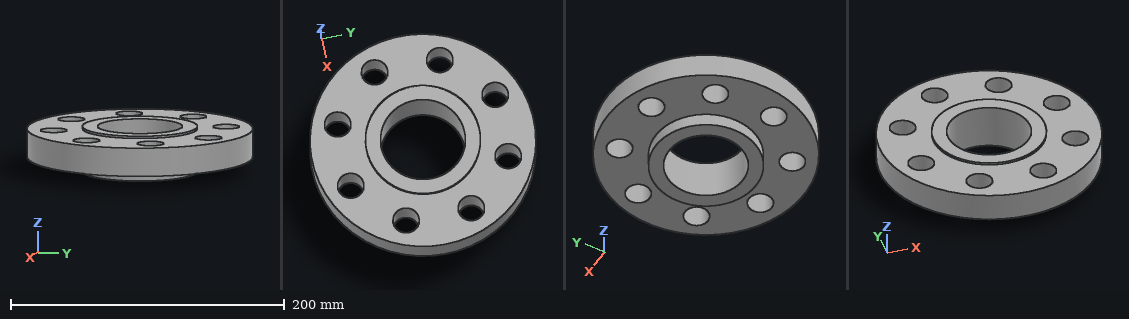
import cadquery as cq

flange_diameter = 165.1
overall_height = 33.4

hub_diameter = 84.0
raised_face_height = 1.7
hub_height = 10.7
flange_thickness = overall_height - raised_face_height - hub_height

bore_diameter = 61.9
bolt_hole_count = 8
bolt_hole_diameter = 19.2
bolt_circle_diameter = 127.0
bolt_start_angle = 180 / bolt_hole_count


def make_body():
    """Disc with a hub running through it; the hub's underside is at Z = 0."""
    hub = cq.Workplane("XY").circle(hub_diameter / 2).extrude(overall_height)
    disc = (
        cq.Workplane("XY")
        .workplane(offset=hub_height)
        .circle(flange_diameter / 2)
        .extrude(flange_thickness)
    )
    return disc.union(hub)


def make_bore():
    return cq.Workplane("XY").circle(bore_diameter / 2).extrude(overall_height)


def make_bolt_holes():
    return (
        cq.Workplane("XY")
        .polarArray(bolt_circle_diameter / 2, bolt_start_angle, 360, bolt_hole_count)
        .circle(bolt_hole_diameter / 2)
        .extrude(overall_height)
    )


result = make_body().cut(make_bore()).cut(make_bolt_holes())